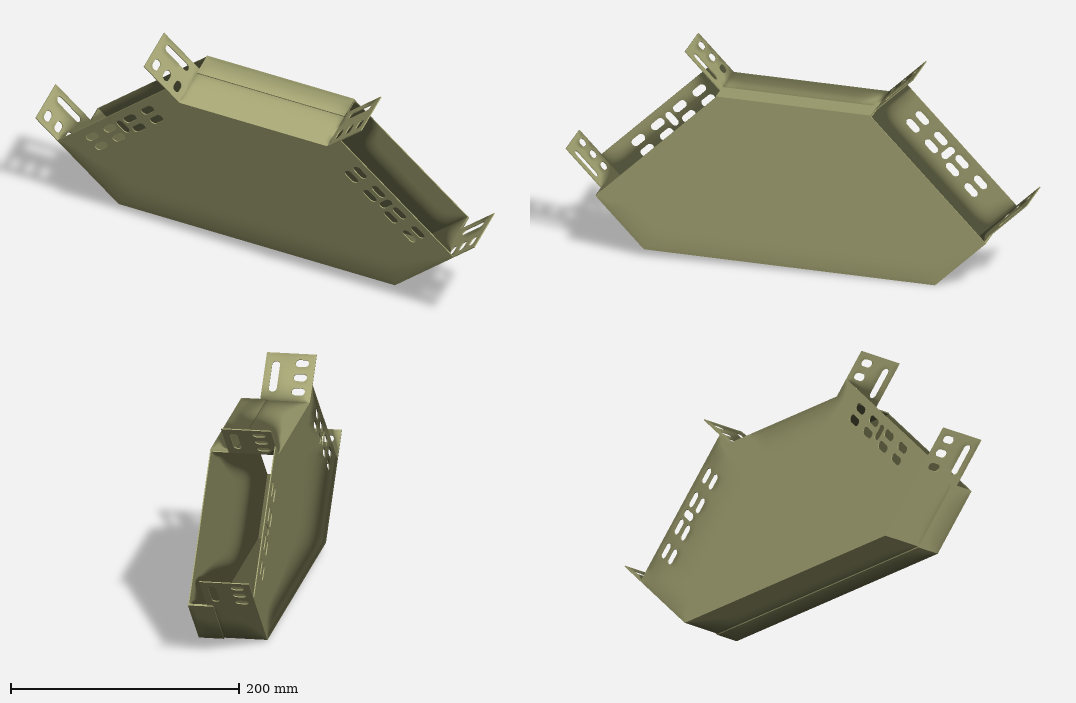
import cadquery as cq
import math


SHEET = 0.93
LEG_WIDTH = 150.5
BEND_WIDTH = 151.5
INNER_WALL_LENGTH = 141.0
TRAY_DEPTH = 60.5
FLOOR_REACH = 17.5
LIP_DEPTH = 22.5

TAB_LENGTH = 46.5
TAB_HEIGHT = 44.5
SLOT_WIDTH = 7.0
TAB_LONG_SLOT = 30.0
TAB_LONG_SLOT_HEIGHT = 35.0
TAB_SHORT_SLOT = 11.8
TAB_SHORT_SLOT_HEIGHT = 11.8
TAB_SHORT_SLOT_PITCH = 14.0
TAB_SHORT_SLOT_COUNT = 3
TAB_SLOT_CENTRE = 23.5

FLOOR_SLOT = 14.7
FLOOR_SLOT_ROWS = (6.7, -5.0)
FLOOR_SLOT_OFFSETS = (-38.3, -14.0, 14.0, 38.3)
CENTRE_SLOT = 14.7
CENTRE_SLOT_REACH = 2.5

TILT_X = -0.5
TILT_Y = -1.45
TILT_Z = 1.27

LEG_ANGLE = 45
DIAGONAL = math.cos(math.radians(LEG_ANGLE))
HALF_INNER = INNER_WALL_LENGTH / 2


def leg_point(reach, across):
    """Point of the right leg: reach past its mouth, across from its inner wall face."""
    return (HALF_INNER + (reach + across) * DIAGONAL, (reach - across) * DIAGONAL)


def bend_corner(across, drop):
    """Corner where a leg wall line meets a level wall line lying drop below the inner wall."""
    return (HALF_INNER + across / DIAGONAL - drop, -drop)


def symmetric_prism(right_points, start, depth):
    """Extrude along +Y an outline given by its right half, from top to bottom."""
    left_points = [(-x, z) for x, z in reversed(right_points)]
    sketch = cq.Workplane("XZ", origin=(0, start, 0)).polyline(right_points + left_points)
    return sketch.close().extrude(-depth)


def both_sides(right_part):
    """The right-hand shape joined with its mirror image."""
    return right_part.union(right_part.mirror("YZ"))


def bend_outline():
    return [
        leg_point(0, 0),
        leg_point(0, LEG_WIDTH),
        bend_corner(LEG_WIDTH, BEND_WIDTH),
    ]


def make_walls():
    block = symmetric_prism(bend_outline(), 0, TRAY_DEPTH)
    cavity_outline = [
        bend_corner(SHEET, SHEET),
        leg_point(FLOOR_REACH, SHEET),
        leg_point(FLOOR_REACH, LEG_WIDTH - SHEET),
        bend_corner(LEG_WIDTH - SHEET, BEND_WIDTH - SHEET),
    ]
    return block.cut(symmetric_prism(cavity_outline, 0, TRAY_DEPTH))


def make_floor_slots():
    slots = cq.Workplane("XZ").pushPoints([leg_point(CENTRE_SLOT_REACH, LEG_WIDTH / 2)])
    slots = slots.slot2D(CENTRE_SLOT, SLOT_WIDTH, LEG_ANGLE).extrude(-SHEET)
    centres = [
        leg_point(reach, LEG_WIDTH / 2 + offset)
        for reach in FLOOR_SLOT_ROWS
        for offset in FLOOR_SLOT_OFFSETS
    ]
    rows = cq.Workplane("XZ").pushPoints(centres)
    rows = rows.slot2D(FLOOR_SLOT, SLOT_WIDTH, -LEG_ANGLE).extrude(-SHEET)
    return both_sides(slots.union(rows))


def make_floor():
    outline = [
        leg_point(0, 0),
        leg_point(FLOOR_REACH, 0),
        leg_point(FLOOR_REACH, LEG_WIDTH),
        bend_corner(LEG_WIDTH, BEND_WIDTH),
    ]
    return symmetric_prism(outline, 0, SHEET).cut(make_floor_slots())


def make_tab(across):
    """Slotted tab of the right leg, with its lower face at the given distance across the leg."""
    x, z = leg_point(0, across)
    face = cq.Plane(origin=(x, 0, z), xDir=(1, 0, 1), normal=(-1, 0, 1))
    tab = cq.Workplane(face).rect(TAB_LENGTH, TAB_HEIGHT, centered=False).extrude(SHEET)
    long_slot = cq.Workplane(face).center(TAB_SLOT_CENTRE, TAB_LONG_SLOT_HEIGHT)
    long_slot = long_slot.slot2D(TAB_LONG_SLOT, SLOT_WIDTH).extrude(SHEET)
    short_slots = cq.Workplane(face).center(TAB_SLOT_CENTRE, TAB_SHORT_SLOT_HEIGHT)
    short_slots = short_slots.rarray(TAB_SHORT_SLOT_PITCH, 4, TAB_SHORT_SLOT_COUNT, 1)
    short_slots = short_slots.slot2D(TAB_SHORT_SLOT, SLOT_WIDTH, 90).extrude(SHEET)
    return tab.cut(long_slot).cut(short_slots)


def make_tray():
    tray = make_walls().union(make_floor())
    for across in (SHEET, LEG_WIDTH):
        tray = tray.union(both_sides(make_tab(across)))
    return tray


def make_cover():
    """Flat cover with lips hanging over the outside of the tray walls."""
    outline = [
        (HALF_INNER, SHEET),
        leg_point(0, 0),
        leg_point(0, LEG_WIDTH + SHEET),
        bend_corner(LEG_WIDTH + SHEET, BEND_WIDTH + SHEET),
    ]
    lip_start = TRAY_DEPTH + SHEET - LIP_DEPTH
    cover = symmetric_prism(outline, lip_start, LIP_DEPTH)
    return cover.cut(symmetric_prism(bend_outline(), lip_start, LIP_DEPTH - SHEET))


def tilt(body):
    origin = (0, 0, 0)
    body = body.rotate(origin, (1, 0, 0), TILT_X)
    body = body.rotate(origin, (0, 1, 0), TILT_Y)
    return body.rotate(origin, (0, 0, 1), TILT_Z)


tray = tilt(make_tray())
cover = tilt(make_cover())

result = cq.Compound.makeCompound([tray.solids().val(), cover.solids().val()])